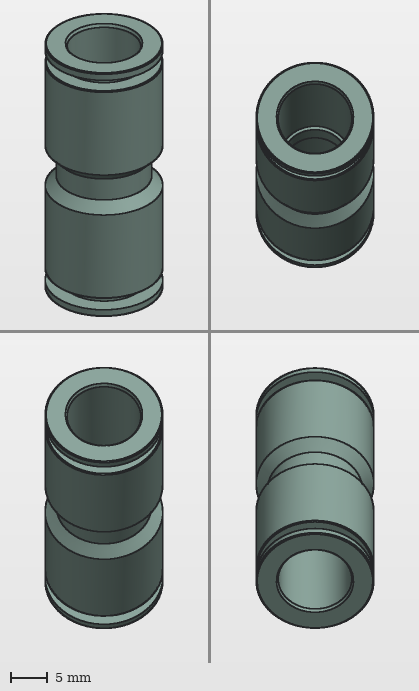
import cadquery as cq

length = 38.5
outer_diameter = 16.0
waist_diameter = 13.0
neck_diameter = 11.4
socket_diameter = 10.0
bore_diameter = 9.0

flange_thickness = 1.1
neck_length = 1.75
waist_length = 3.3
stop_length = 3.3
edge_chamfer = 0.15
mouth_flare = 0.25
mouth_depth = 0.45

half_length = length / 2
outer_radius = outer_diameter / 2
waist_radius = waist_diameter / 2
neck_radius = neck_diameter / 2
socket_radius = socket_diameter / 2
flange_bottom = half_length - flange_thickness
body_top = flange_bottom - neck_length
waist_top = waist_length / 2
taper_top = waist_top + (outer_radius - waist_radius)
socket_floor = stop_length / 2


def revolve_about_z(profile):
    """Full turn of a closed (radius, height) outline about the Z axis."""
    return cq.Workplane("XZ").polyline(profile).close().revolve(360, (0, 0), (0, 1))


def outer_body():
    """Solid body with its flanges, necks, shoulders and waist."""
    upper_half = [
        (waist_radius, waist_top),
        (outer_radius, taper_top),
        (outer_radius, body_top - edge_chamfer),
        (outer_radius - edge_chamfer, body_top),
        (neck_radius, body_top),
        (neck_radius, flange_bottom),
        (outer_radius, flange_bottom),
        (outer_radius, half_length - edge_chamfer),
        (outer_radius - edge_chamfer, half_length),
        (0, half_length),
    ]
    lower_half = [(radius, -height) for radius, height in reversed(upper_half)]
    return revolve_about_z(lower_half + upper_half)


def upper_socket():
    """Cutter for the upper tube socket with its flared mouth."""
    profile = [
        (0, socket_floor),
        (socket_radius, socket_floor),
        (socket_radius, half_length - mouth_depth),
        (socket_radius + mouth_flare, half_length),
        (0, half_length),
    ]
    return revolve_about_z(profile)


socket = upper_socket()
bore = cq.Workplane("XY").circle(bore_diameter / 2).extrude(half_length, both=True)

result = outer_body().cut(socket).cut(socket.mirror("XY")).cut(bore)